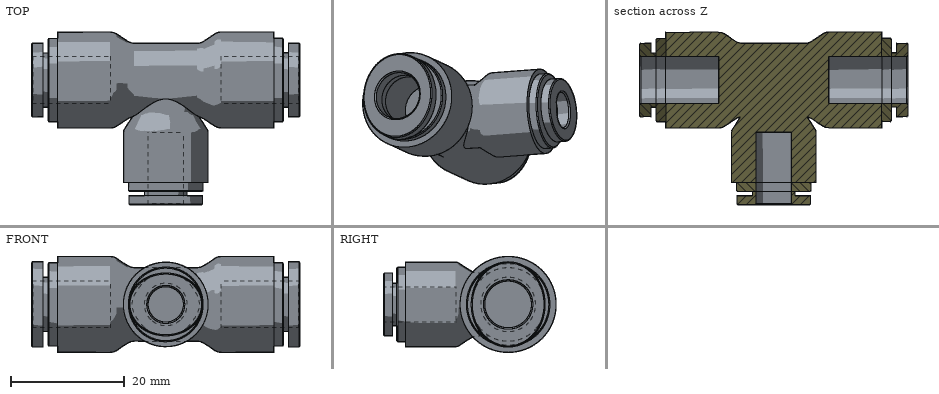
import cadquery as cq


run = dict(
    tube_diameter=12.95,
    socket_diameter=16.9,
    taper_start=6.14,
    taper_end=9.13,
    taper_radius=2.0,
    housing_end=19.0,
    sleeve_end=20.7,
    flange_start=21.53,
    button_end=23.6,
    sleeve_diameter=14.7,
    neck_diameter=9.6,
    flange_width=13.0,
    flange_height=15.0,
    bore_diameter=8.2,
    bore_floor=9.7,
)

branch = dict(
    tube_diameter=11.1,
    socket_diameter=14.9,
    taper_start=5.95,
    taper_end=8.90,
    taper_radius=1.0,
    housing_end=18.05,
    sleeve_end=19.6,
    flange_start=20.3,
    button_end=21.95,
    sleeve_diameter=13.15,
    neck_diameter=7.5,
    flange_width=13.0,
    flange_height=11.05,
    bore_diameter=6.2,
    bore_floor=9.2,
)

outer_chamfer = 0.2
bore_chamfer = 0.25

selection_margin = 1.0

ports = [(run, 0), (run, 180), (branch, -90)]


def turned(body, angle):
    return body.rotate((0, 0, 0), (0, 0, 1), angle)


def rod(start, end, diameter):
    """Solid cylinder along X."""
    return cq.Workplane("YZ", origin=(start, 0, 0)).circle(diameter / 2).extrude(end - start)


def housing_arm(port):
    """Solid of revolution from the tee centre to the port's housing end."""
    tube_radius = port["tube_diameter"] / 2
    socket_radius = port["socket_diameter"] / 2
    arm = (
        cq.Workplane("XY")
        .moveTo(0, 0)
        .lineTo(0, tube_radius)
        .lineTo(port["taper_start"], tube_radius)
        .lineTo(port["taper_end"], socket_radius)
        .lineTo(port["housing_end"], socket_radius)
        .lineTo(port["housing_end"], 0)
        .close()
        .revolve(360, (0, 0, 0), (1, 0, 0))
    )
    side = socket_radius + selection_margin
    taper_box = cq.selectors.BoxSelector(
        (port["taper_start"] - selection_margin, -side, -side),
        (port["taper_end"] + selection_margin, side, side),
        boundingbox=True,
    )
    return arm.edges(taper_box).edges("%CIRCLE").fillet(port["taper_radius"])


def make_housing():
    """One tee body with a blind bore in each port."""
    housing = cq.Workplane()
    for port, angle in ports:
        housing = housing.add(turned(housing_arm(port), angle))
    housing = housing.combine()
    for port, angle in ports:
        bore = rod(port["bore_floor"], port["housing_end"], port["bore_diameter"])
        housing = housing.cut(turned(bore, angle))
    return housing


def make_sleeve(port):
    """Ring seated on the housing end, with a chamfered outer tip."""
    sleeve = rod(port["housing_end"], port["sleeve_end"], port["sleeve_diameter"])
    sleeve = sleeve.faces(">X").edges().chamfer(outer_chamfer)
    return sleeve.cut(rod(port["housing_end"], port["sleeve_end"], port["bore_diameter"]))


def make_button(port):
    """Release button: round neck seated on the sleeve and an oval flange."""
    flange = (
        cq.Workplane("YZ", origin=(port["flange_start"], 0, 0))
        .ellipse(port["flange_width"] / 2, port["flange_height"] / 2)
        .extrude(port["button_end"] - port["flange_start"])
        .faces(">X").edges().chamfer(outer_chamfer)
    )
    button = flange.union(rod(port["sleeve_end"], port["flange_start"], port["neck_diameter"]))
    button = button.cut(rod(port["sleeve_end"], port["button_end"], port["bore_diameter"]))
    return button.faces(">X").edges("%CIRCLE").chamfer(bore_chamfer)


housing = make_housing()
sleeves = [turned(make_sleeve(port), angle) for port, angle in ports]
buttons = [turned(make_button(port), angle) for port, angle in ports]

result = cq.Compound.makeCompound(
    [housing.val()]
    + [sleeve.val() for sleeve in sleeves]
    + [button.val() for button in buttons]
)